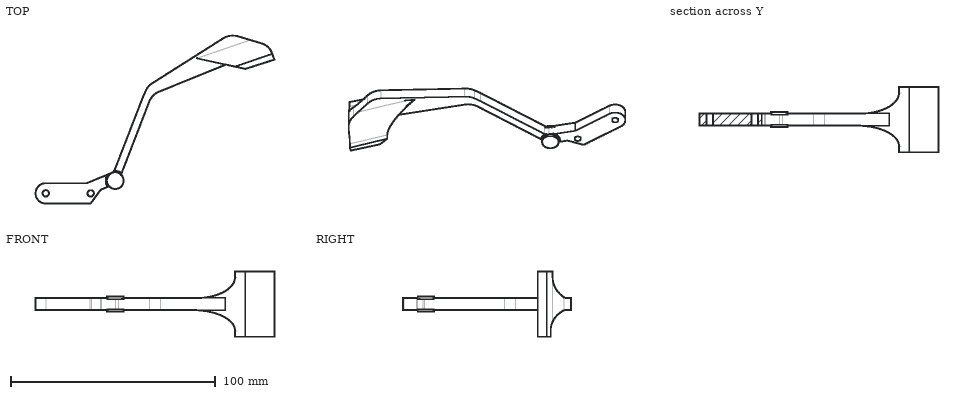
import cadquery as cq
import math

plate_thickness = 6.0
base_radius = 5.0
hole_spacing = 22.0
hole_diameter = 3.0
pedal_height = 32.0

pivot_x, pivot_y = 34.0, 6.2
head_radius = 4.1
head_thickness = 1.3
pivot_height = 7.5
head_clearance = 0.7

neck_top = (20.0, base_radius)
neck_bottom = (26.9, 1.8)
neck_corner_radius = 1.0
crook_start = (32.2, 10.0)
crook_middle = (33.2, 10.7)
crook_end = (33.8, 11.8)
elbow_start = (34.0, 4.5)
elbow_middle = (34.8, 4.8)
elbow_end = (35.4, 5.4)

flare_radius = 10.0
upper_hollow_angle = 19.0
lower_hollow_angle = 16.0
flare_front = (92.1, 61.8)
flare_start = (73.7, 66.0)
pedal_front_corner = (97.5, 60.7)
pedal_tip = (111.8, 65.3)
pedal_tip_top = (110.7, 68.0)
pedal_tip_arc_middle = (108.6, 71.5)
pedal_tip_arc_end = (104.9, 73.5)
crown_start = (86.9, 75.9)
crown_middle = (90.6, 77.1)
crown_end = (94.4, 76.6)

outer_bend_line_start = (47.5, 47.3)
outer_bend_start = (48.9, 50.3)
outer_bend_middle = (50.3, 52.4)
outer_bend_end = (52.4, 54.1)
inner_bend_start = (50.5, 44.4)
inner_bend_middle = (52.3, 47.5)
inner_bend_end = (56.1, 49.9)
underside_end = (87.4, 62.6)


def centred_extrusion(outline, height):
    return outline.extrude(height / 2, both=True)


def disc(radius, height):
    return centred_extrusion(cq.Workplane("XY").center(pivot_x, pivot_y).circle(radius), height)


def base_link():
    outline = (
        cq.Workplane("XY")
        .moveTo(0, base_radius)
        .lineTo(*neck_top)
        .lineTo(*crook_start)
        .lineTo(pivot_x, pivot_y)
        .lineTo(*elbow_start)
        .lineTo(*neck_bottom)
        .lineTo(hole_spacing, -base_radius)
        .lineTo(0, -base_radius)
        .threePointArc((-base_radius, 0), (0, base_radius))
        .close()
    )
    holes = cq.Workplane("XY").pushPoints([(0, 0), (hole_spacing, 0)]).circle(hole_diameter / 2)
    body = centred_extrusion(outline, plate_thickness)
    for corner in (neck_bottom, (hole_spacing, -base_radius)):
        body = body.edges(cq.selectors.NearestToPointSelector((*corner, 0))).fillet(neck_corner_radius)
    return body.cut(centred_extrusion(holes, plate_thickness))


def arm():
    outline = (
        cq.Workplane("XY")
        .moveTo(*elbow_end)
        .lineTo(*inner_bend_start)
        .threePointArc(inner_bend_middle, inner_bend_end)
        .lineTo(*underside_end)
        .lineTo(*pedal_tip_arc_end)
        .lineTo(*crown_end)
        .threePointArc(crown_middle, crown_start)
        .lineTo(*outer_bend_end)
        .threePointArc(outer_bend_middle, outer_bend_start)
        .lineTo(*outer_bend_line_start)
        .lineTo(*crook_end)
        .threePointArc(crook_middle, crook_start)
        .lineTo(pivot_x, pivot_y)
        .lineTo(*elbow_start)
        .threePointArc(elbow_middle, elbow_end)
        .close()
    )
    return centred_extrusion(outline, plate_thickness)


def pedal():
    outline = (
        cq.Workplane("XY")
        .moveTo(*flare_start)
        .lineTo(*pedal_front_corner)
        .lineTo(*pedal_tip)
        .lineTo(*pedal_tip_top)
        .threePointArc(pedal_tip_arc_middle, pedal_tip_arc_end)
        .lineTo(*crown_end)
        .close()
    )
    blank = centred_extrusion(outline, pedal_height)

    half_plate = plate_thickness / 2
    diagonal = flare_radius * math.sqrt(0.5)
    reach = 70.1
    for side, angle in ((1, upper_hollow_angle), (-1, lower_hollow_angle)):
        cosine = math.cos(math.radians(angle))
        sine = math.sin(math.radians(angle))
        plane = cq.Plane(origin=(*flare_front, 0), xDir=(sine, -cosine, 0), normal=(-cosine, -sine, 0))
        hollow = (
            cq.Workplane(plane)
            .moveTo(-flare_radius, side * half_plate)
            .threePointArc(
                (diagonal - flare_radius, side * (half_plate + flare_radius - diagonal)),
                (0, side * (half_plate + flare_radius)),
            )
            .lineTo(0, side * pedal_height)
            .lineTo(-reach, side * pedal_height)
            .lineTo(-reach, side * half_plate)
            .close()
            .extrude(reach, both=True)
        )
        blank = blank.cut(hollow)
    return blank


links = base_link().union(arm()).union(pedal())
gap = pivot_height - 2 * head_thickness
clearance = disc(head_radius + head_clearance, pivot_height).cut(disc(head_radius + head_clearance, gap))
heads = disc(head_radius, pivot_height).cut(disc(head_radius, gap))
result = links.cut(clearance).union(heads)